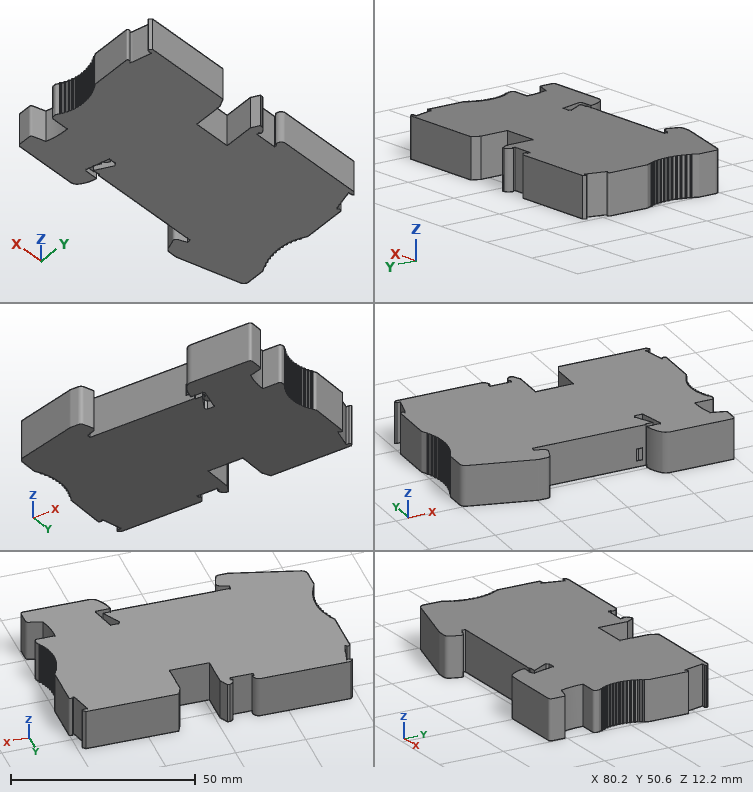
import cadquery as cq

LENGTH = 80.2
HEIGHT = 50.6
WIDTH = 12.2

LUG_TOP_X = 2.3
LUG_TIP_X = 1.6
LUG_TIP_TOP_Y = 49.9
LUG_TIP_LOW_Y = 49.6
LUG_ROOT_X = 2.2
LUG_UNDER_Y = 49.3
NOTCH_TOP_X = 3.1
NOTCH_FOOT_X = 1.7
NOTCH_FOOT_Y = 43.6
SHOULDER_Y = 43.3
SHOULDER_INNER_X = 1.0
SHOULDER_DIP_X = 1.4
SHOULDER_DIP_Y = 42.8

GROOVE_LEFT, GROOVE_RIGHT = 29.3, 35.85
GROOVE_FLOOR_Y = 47.6
LIP_Y = 48.45
LIP_OVERHANG = 0.5
LEFT_LIP_TOP_X = 28.3
LEFT_LIP_MID = (29.2, 50.1)
RIGHT_LIP_MID = (35.8, 49.9)
RIGHT_LIP_TOP_START, RIGHT_LIP_TOP_END = 36.8, 37.45
SLOT_LEFT, SLOT_RIGHT = 38.8, 50.2
SLOT_FLOOR_Y = 39.05
SLOT_BEVEL_Y = 48.1
SLOT_BEVEL_RUN = 1.2

LEFT_GRIP = dict(edge_x=0.0, center_y=21.25, half_chord=8.75, rib_span=13.55, ribs=11)
RIGHT_GRIP = dict(edge_x=LENGTH, center_y=22.9, half_chord=7.7, rib_span=12.8, ribs=13)
GRIP_DEPTH = 2.5
RIB_HEIGHT = 0.25
RIB_WIDTH = 0.4

HULL_START_Y = 5.5
HULL_END_X = 20.45
HOOK_BOTTOM_X = 24.0
HOOK_TIP_X, HOOK_TIP_Y = 25.6, 4.6
HOOK_ROOT_X, HOOK_ROOT_Y = 22.05, 6.0

RAIL_END_X = 56.4
SEAT_LIP_Y = 7.45
SEAT_STEP = 0.36
RAIL_Y = SEAT_LIP_Y - SEAT_STEP
SEAT_LIP_X = 58.6
SPRING_SLOT_LEFT, SPRING_SLOT_LEFT_Y = 55.65, 12.75
SPRING_SLOT_TOP_LEFT, SPRING_SLOT_TOP_RIGHT = 56.1, 58.5
SPRING_SLOT_TOP_Y = 13.5
SPRING_SLOT_RIGHT = 60.4
SPRING_SLOT_FLOOR_Y = 5.9

NOSE_X = 56.0
NOSE_MID = (56.8, 3.1)
NOSE_END = (58.3, 0.7)
TOE_MID = (59.2, 0.2)
FOOT_BOTTOM_X = 60.2
FOOT_END_X = 79.7
FOOT_END_TOP_Y = 5.0
RECESS_LOW_X, RECESS_LOW_Y = 75.3, 6.25
RECESS_MID = (74.5, 9.6)
RECESS_X = 74.3
RECESS_TOP_Y = 13.55

BAND_BOTTOM, BAND_TOP = 1.9, 5.45
TONGUE_TAIL_X = 56.95
TONGUE_TAIL_TOP_Y = 7.2
TONGUE_NECK_X = 58.6
TONGUE_NOTCH = [(57.4, 9.5), (57.8, 9.6), (57.75, 10.2), (57.0, 10.5)]
TONGUE_CHEEK = (56.4, 11.55)
TONGUE_CROWN_MID = (56.95, 12.75)
TONGUE_CROWN_LEFT, TONGUE_CROWN_RIGHT = 57.9, 58.7
TONGUE_CROWN_Y = 13.3
OVERLAP = 0.1
DETENT_LEFT, DETENT_RIGHT = 53.5, 55.3
DETENT_SLOPE_RUN = 0.5
DETENT_END_RUN = 0.2
DETENT_HEIGHT = 0.2

ROUND_LARGE = 1.85
ROUND_HOOK_BOTTOM = 1.4
ROUND_HOOK_TIP = 1.05
ROUND_SMALL = 0.8
ROUND_TINY = 0.4

CORNER_REACH = 0.1


def mirrored(x):
    return LENGTH - x


def notch_points(place):
    """Upper corner notch from the end face up to the top face."""
    return [
        (place(0), SHOULDER_Y),
        (place(SHOULDER_INNER_X), SHOULDER_Y),
        (place(SHOULDER_DIP_X), SHOULDER_DIP_Y),
        (place(NOTCH_FOOT_X), NOTCH_FOOT_Y),
        (place(NOTCH_TOP_X), LUG_UNDER_Y),
        (place(LUG_ROOT_X), LUG_UNDER_Y),
        (place(LUG_TIP_X), LUG_TIP_LOW_Y),
        (place(LUG_TIP_X), LUG_TIP_TOP_Y),
        (place(LUG_TOP_X), HEIGHT),
    ]


def build_body():
    """Plain side profile, extruded over the full width."""
    outline = cq.Workplane("XY").moveTo(0, HULL_START_Y)
    for point in notch_points(float):
        outline = outline.lineTo(*point)
    outline = (
        outline.lineTo(LEFT_LIP_TOP_X, HEIGHT)
        .threePointArc(LEFT_LIP_MID, (GROOVE_LEFT + LIP_OVERHANG, LIP_Y))
        .lineTo(GROOVE_LEFT, LIP_Y)
        .lineTo(GROOVE_LEFT, GROOVE_FLOOR_Y)
        .lineTo(GROOVE_RIGHT, GROOVE_FLOOR_Y)
        .lineTo(GROOVE_RIGHT, LIP_Y)
        .lineTo(GROOVE_RIGHT - LIP_OVERHANG, LIP_Y)
        .threePointArc(RIGHT_LIP_MID, (RIGHT_LIP_TOP_START, HEIGHT))
        .lineTo(RIGHT_LIP_TOP_END, HEIGHT)
        .lineTo(SLOT_LEFT, SLOT_BEVEL_Y)
        .lineTo(SLOT_LEFT, SLOT_FLOOR_Y)
        .lineTo(SLOT_RIGHT, SLOT_FLOOR_Y)
        .lineTo(SLOT_RIGHT, SLOT_BEVEL_Y)
        .lineTo(SLOT_RIGHT + SLOT_BEVEL_RUN, HEIGHT)
    )
    for point in reversed(notch_points(mirrored)):
        outline = outline.lineTo(*point)
    outline = (
        outline.lineTo(LENGTH, RECESS_TOP_Y)
        .lineTo(RECESS_X, RECESS_TOP_Y)
        .threePointArc(RECESS_MID, (RECESS_LOW_X, RECESS_LOW_Y))
        .lineTo(FOOT_END_X, FOOT_END_TOP_Y)
        .lineTo(FOOT_END_X, 0)
        .lineTo(FOOT_BOTTOM_X, 0)
        .threePointArc(TOE_MID, NOSE_END)
        .threePointArc(NOSE_MID, (NOSE_X, SPRING_SLOT_FLOOR_Y))
    )
    outline = (
        outline.lineTo(SPRING_SLOT_RIGHT, SPRING_SLOT_FLOOR_Y)
        .lineTo(SPRING_SLOT_TOP_RIGHT, SPRING_SLOT_TOP_Y)
        .lineTo(SPRING_SLOT_TOP_LEFT, SPRING_SLOT_TOP_Y)
        .lineTo(SPRING_SLOT_LEFT, SPRING_SLOT_LEFT_Y)
        .lineTo(SEAT_LIP_X, SEAT_LIP_Y)
        .lineTo(RAIL_END_X, SEAT_LIP_Y)
        .lineTo(RAIL_END_X, RAIL_Y)
        .lineTo(HOOK_ROOT_X, RAIL_Y)
        .lineTo(HOOK_ROOT_X, HOOK_ROOT_Y)
        .lineTo(HOOK_TIP_X, HOOK_TIP_Y)
        .lineTo(HOOK_BOTTOM_X, 0)
        .lineTo(HULL_END_X, 0)
        .close()
    )
    return outline.extrude(WIDTH)


def round_corner(body, x, y, radius):
    """Fillet the upright edge at (x, y)."""
    reach = CORNER_REACH
    corner = cq.selectors.BoxSelector((x - reach, y - reach, 0), (x + reach, y + reach, WIDTH))
    return body.edges("|Z").edges(corner).fillet(radius)


def grip_cutter(edge_x, center_y, half_chord, rib_span, ribs):
    """Disc through the scallop, with thin ribs left standing across its rim."""
    radius = (half_chord**2 + GRIP_DEPTH**2) / (2 * GRIP_DEPTH)
    outward = -1 if edge_x == 0 else 1
    center_x = edge_x + outward * (radius - GRIP_DEPTH)
    plane = cq.Workplane("XY", origin=(center_x, center_y, 0))
    disc = plane.circle(radius).extrude(WIDTH)
    strips = (
        plane
        .rarray(0.8, rib_span / (ribs - 1), 1, ribs)
        .rect(2 * radius, RIB_WIDTH)
        .extrude(WIDTH)
    )
    core = plane.circle(radius - RIB_HEIGHT).extrude(WIDTH)
    return disc.cut(strips).union(core)


def build_spring_tongue():
    """Tongue on the right wall and floor of the slot, sunk slightly into both."""
    base_y = SPRING_SLOT_FLOOR_Y - OVERLAP
    return (
        cq.Workplane("XY", origin=(0, 0, BAND_BOTTOM))
        .moveTo(TONGUE_TAIL_X, base_y)
        .lineTo(TONGUE_TAIL_X, TONGUE_TAIL_TOP_Y)
        .lineTo(TONGUE_NECK_X, TONGUE_TAIL_TOP_Y)
        .polyline(TONGUE_NOTCH, includeCurrent=True)
        .lineTo(*TONGUE_CHEEK)
        .threePointArc(TONGUE_CROWN_MID, (TONGUE_CROWN_LEFT, TONGUE_CROWN_Y))
        .lineTo(TONGUE_CROWN_RIGHT, TONGUE_CROWN_Y)
        .lineTo(SPRING_SLOT_RIGHT + OVERLAP, base_y)
        .close()
        .extrude(BAND_TOP - BAND_BOTTOM)
    )


def build_detent():
    """Low bump on the rail seat with a sloped lead-in."""
    return (
        cq.Workplane("XY", origin=(0, 0, BAND_BOTTOM))
        .moveTo(DETENT_LEFT, RAIL_Y)
        .lineTo(DETENT_LEFT + DETENT_SLOPE_RUN, RAIL_Y - DETENT_HEIGHT)
        .lineTo(DETENT_RIGHT - DETENT_END_RUN, RAIL_Y - DETENT_HEIGHT)
        .lineTo(DETENT_RIGHT, RAIL_Y)
        .close()
        .extrude(BAND_TOP - BAND_BOTTOM)
    )


body = build_body()
for x, y, radius in [
    (0, HULL_START_Y, ROUND_LARGE),
    (HULL_END_X, 0, ROUND_LARGE),
    (HOOK_BOTTOM_X, 0, ROUND_HOOK_BOTTOM),
    (HOOK_TIP_X, HOOK_TIP_Y, ROUND_HOOK_TIP),
    (FOOT_END_X, 0, ROUND_SMALL),
    (FOOT_END_X, FOOT_END_TOP_Y, ROUND_SMALL),
    (LENGTH, RECESS_TOP_Y, ROUND_SMALL),
    (SPRING_SLOT_RIGHT, SPRING_SLOT_FLOOR_Y, ROUND_TINY),
    (0, SHOULDER_Y, ROUND_TINY),
    (LENGTH, SHOULDER_Y, ROUND_TINY),
]:
    body = round_corner(body, x, y, radius)

for grip in (LEFT_GRIP, RIGHT_GRIP):
    body = body.cut(grip_cutter(**grip))
    for side in (-1, 1):
        body = round_corner(body, grip["edge_x"], grip["center_y"] + side * grip["half_chord"], ROUND_SMALL)

result = body.union(build_spring_tongue()).union(build_detent())